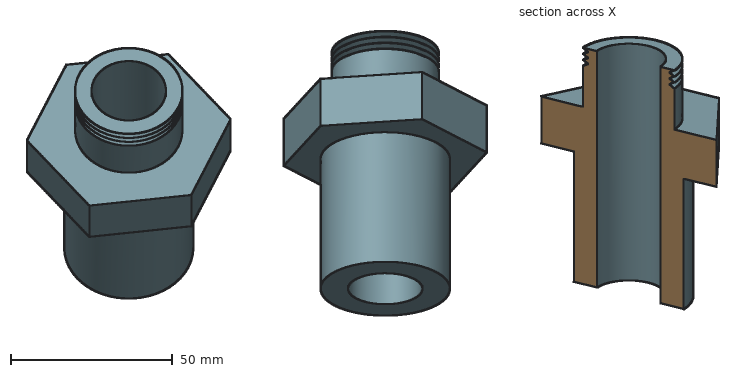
import cadquery as cq
import math

TOTAL_LENGTH = 80.0
BODY_LENGTH = 44.0
HEX_HEIGHT = 16.0

HEX_ACROSS_FLATS = 55.0
BODY_DIAMETER = 40.0
NECK_DIAMETER = 33.2
BORE_DIAMETER = 23.0

GROOVE_COUNT = 3
GROOVE_PITCH = 2.0
GROOVE_ANGLE = 60.0
TOP_LAND = 0.2

HEX_TURN = 30.0
HEX_ACROSS_CORNERS = HEX_ACROSS_FLATS / math.cos(math.radians(HEX_TURN))
GROOVE_DEPTH = GROOVE_PITCH / 2 / math.tan(math.radians(GROOVE_ANGLE / 2))
NECK_BASE = BODY_LENGTH + HEX_HEIGHT


def make_cylinder(diameter, base_z, length):
    """Solid cylinder on the Z axis."""
    return cq.Workplane("XY").workplane(offset=base_z).circle(diameter / 2).extrude(length)


def make_hex_collar():
    """Hexagonal wrench collar with its flats facing +X and -X."""
    hexagon = cq.Workplane("XY").polygon(6, HEX_ACROSS_CORNERS).extrude(HEX_HEIGHT)
    return hexagon.rotate((0, 0, 0), (0, 0, 1), HEX_TURN).translate((0, 0, BODY_LENGTH))


def make_grooved_neck():
    """Neck whose revolved half-profile carries the V-grooves just below its top face."""
    crest_radius = NECK_DIAMETER / 2
    root_radius = crest_radius - GROOVE_DEPTH
    profile = (
        cq.Workplane("XZ")
        .moveTo(0, NECK_BASE)
        .lineTo(0, TOTAL_LENGTH)
        .lineTo(crest_radius, TOTAL_LENGTH)
        .lineTo(crest_radius, TOTAL_LENGTH - TOP_LAND)
    )
    for index in range(GROOVE_COUNT):
        groove_top = TOTAL_LENGTH - TOP_LAND - index * GROOVE_PITCH
        profile = profile.lineTo(root_radius, groove_top - GROOVE_PITCH / 2)
        profile = profile.lineTo(crest_radius, groove_top - GROOVE_PITCH)
    profile = profile.lineTo(crest_radius, NECK_BASE).close()
    return profile.revolve(360, (0, 0, 0), (0, 1, 0))


body = make_cylinder(BODY_DIAMETER, 0, BODY_LENGTH)
bore = make_cylinder(BORE_DIAMETER, 0, TOTAL_LENGTH)

result = body.union(make_hex_collar()).union(make_grooved_neck()).cut(bore)